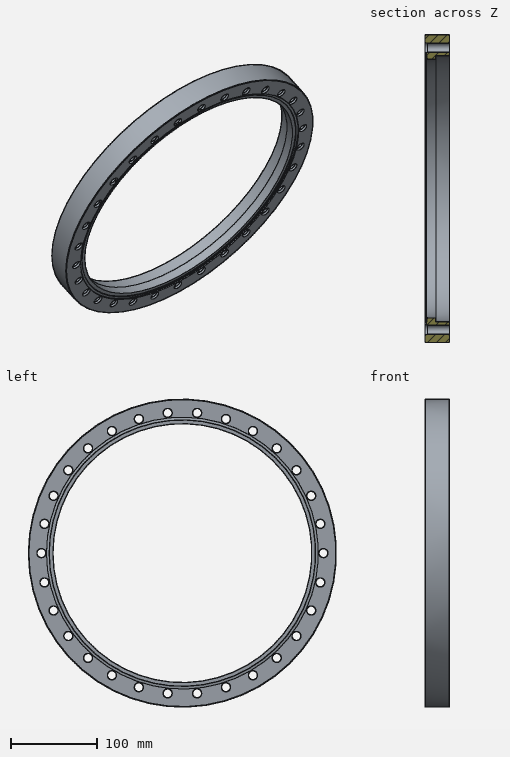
import cadquery as cq

outer_diameter = 355.6
thickness = 28.45
bore_diameter = 298.45
edge_chamfer = 0.75

socket_diameter = 306.9
socket_depth = 15.77

recess_diameter = 313.7
recess_depth = 1.65
knife_tip_diameter = 307.7
knife_tip_depth = 1.1
knife_root_diameter = 307.1
knife_root_depth = 2.0

bolt_count = 30
bolt_circle_diameter = 325.4
bolt_hole_diameter = 9.95
mouth_diameter = 10.7
mouth_depth = 2.9

x_front = -thickness / 2
x_back = thickness / 2


def flange_body():
    """Revolved ring with chamfered rims, knife-edge recess and tube socket."""
    bore_radius = bore_diameter / 2
    socket_radius = socket_diameter / 2
    outer_radius = outer_diameter / 2
    recess_radius = recess_diameter / 2
    x_socket = x_back - socket_depth
    x_root = x_front + knife_root_depth
    profile = (
        cq.Workplane("XY")
        .moveTo(x_socket, bore_radius)
        .lineTo(x_socket, socket_radius)
        .lineTo(x_back, socket_radius)
        .lineTo(x_back, outer_radius - edge_chamfer)
        .lineTo(x_back - edge_chamfer, outer_radius)
        .lineTo(x_front + edge_chamfer, outer_radius)
        .lineTo(x_front, outer_radius - edge_chamfer)
        .lineTo(x_front, recess_radius)
        .lineTo(x_front + recess_depth, recess_radius)
        .lineTo(x_front + knife_tip_depth, knife_tip_diameter / 2)
        .lineTo(x_root, knife_root_diameter / 2)
        .lineTo(x_root, bore_radius)
        .close()
    )
    return profile.revolve(360, (0, 0, 0), (1, 0, 0))


def bolt_circle_cylinders(diameter, length):
    """Cylinders on the bolt circle, running from the front face towards the back."""
    return (
        cq.Workplane("YZ", origin=(x_front, 0, 0))
        .polarArray(bolt_circle_diameter / 2, 0, 360, bolt_count)
        .circle(diameter / 2)
        .extrude(length)
    )


through_holes = bolt_circle_cylinders(bolt_hole_diameter, thickness)
hole_mouths = bolt_circle_cylinders(mouth_diameter, mouth_depth)
result = flange_body().cut(through_holes).cut(hole_mouths)